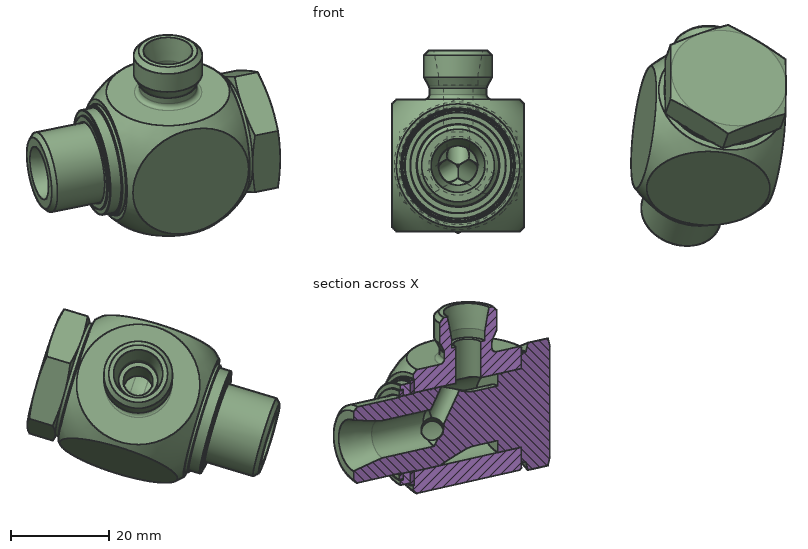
import cadquery as cq
import math


HOUSING_WIDTH = 27.0
HOUSING_HALF = HOUSING_WIDTH / 2
HOUSING_REAR = 13.0
FLAT_DIAMETER = 25.15
SPHERE_RADIUS = math.hypot(HOUSING_HALF, FLAT_DIAMETER / 2)

STUD_LENGTH = 10.0
STUD_TOP = HOUSING_HALF + STUD_LENGTH
STUD_DIAMETER = 14.0
STUD_TOP_DIAMETER = 12
STUD_CHAMFER = (STUD_DIAMETER - STUD_TOP_DIAMETER) / 2
STUD_THREAD_LENGTH = 5.4
STUD_TAPER_LENGTH = 1.8
NECK_DIAMETER = 11.7
NECK_STEP = 0.45
STUD_FILLET = 1.0
CONE_MOUTH_DIAMETER = 10.05
SOCKET_DIAMETER = 8.0
SEAT_DEPTH = 5.0
SOCKET_DEPTH = 7.0
STUD_BORE_DIAMETER = 6.0

HEX_SIDES = 6
HEX_FLATS = 24
HEX_TURN = 180 / HEX_SIDES
HEX_REAR = 20.0
HEX_FRONT = 14.0
HEX_CHAMFER_ANGLE = 15
COLLAR_DIAMETER = HEX_FLATS
COLLAR_FRONT = 13.3
SPIGOT_DIAMETER = 23.35
JOURNAL_DIAMETER = 17.0
THREAD_DIAMETER = 16.65
THREAD_CHAMFER = 0.9
BOLT_LENGTH = 48
BOLT_TIP = HEX_REAR - BOLT_LENGTH

GROOVE_DIAMETER = 12
GROOVE_REAR = 7.2
GROOVE_BEND_REAR = 1.6
GROOVE_BEND_LENGTH = 2.75
GROOVE_SLOPE = 20

BOLT_MOUTH_DIAMETER = 11.0
BOLT_BORE_DIAMETER = 8.0
BOLT_MOUTH_DEPTH = 7.0
BORE_APEX = -5.9
DRILL_HALF_ANGLE = 59
CROSS_HOLE_COUNT = 3
CROSS_HOLE_DIAMETER = 4.5
CROSS_HOLE_ANGLE = 60
CROSS_HOLE_START = -8.8
CROSS_HOLE_LENGTH = 19.2

BACKING_DIAMETER = 22.9
BACKING_THICKNESS = 0.7
BACKING_CHAMFER = 0.15
SEAT_DIAMETER = 23.35
SEAT_CHAMFER = (SEAT_DIAMETER - BACKING_DIAMETER) / 2
SEAL_RING_DIAMETER = 21.9
SEAL_RING_FRONT = -16.6
SEAL_RING_CHAMFER = 0.15
LIP_RECESS_DIAMETER = 19.6
LIP_RECESS_DEPTH = 0.7
LIP_DIAMETER = 19.4
LIP_PROTRUSION = 0.3
BACKING_REAR = -HOUSING_HALF + SEAT_CHAMFER
BACKING_FRONT = -HOUSING_HALF - BACKING_THICKNESS
LIP_REAR = SEAL_RING_FRONT + LIP_RECESS_DEPTH
LIP_FRONT = SEAL_RING_FRONT - LIP_PROTRUSION


def revolve_about_y(points):
    """Solid of revolution about Y from (radius, y) points."""
    return cq.Workplane("XY").polyline(points).close().revolve(360, (0, 0, 0), (0, 1, 0))


def cylinder_along_y(diameter, y_start, y_end):
    return revolve_about_y([(0, y_start), (diameter / 2, y_start), (diameter / 2, y_end), (0, y_end)])


def make_stud():
    thread_radius = STUD_DIAMETER / 2
    throat_radius = STUD_TOP_DIAMETER / 2
    neck_radius = NECK_DIAMETER / 2
    thread_bottom = STUD_TOP - STUD_THREAD_LENGTH
    taper_bottom = thread_bottom - STUD_TAPER_LENGTH
    fillet_shift = STUD_FILLET * (1 - math.cos(math.radians(45)))
    return (
        cq.Workplane("XZ")
        .moveTo(0, 0)
        .lineTo(neck_radius + STUD_FILLET, 0)
        .lineTo(neck_radius + STUD_FILLET, HOUSING_HALF)
        .threePointArc(
            (neck_radius + fillet_shift, HOUSING_HALF + fillet_shift),
            (neck_radius, HOUSING_HALF + STUD_FILLET),
        )
        .lineTo(neck_radius, taper_bottom - NECK_STEP)
        .lineTo(throat_radius, taper_bottom)
        .lineTo(thread_radius, thread_bottom)
        .lineTo(thread_radius, STUD_TOP - STUD_CHAMFER)
        .lineTo(throat_radius, STUD_TOP)
        .lineTo(0, STUD_TOP)
        .close()
        .revolve(360, (0, 0, 0), (0, 1, 0))
    )


def make_stud_bore():
    mouth_radius = CONE_MOUTH_DIAMETER / 2
    socket_radius = SOCKET_DIAMETER / 2
    bore_radius = STUD_BORE_DIAMETER / 2
    outline = [
        (0, 0),
        (bore_radius, 0),
        (bore_radius, STUD_TOP - SOCKET_DEPTH),
        (socket_radius, STUD_TOP - SOCKET_DEPTH),
        (socket_radius, STUD_TOP - SEAT_DEPTH),
        (mouth_radius, STUD_TOP),
        (0, STUD_TOP),
    ]
    return cq.Workplane("XZ").polyline(outline).close().revolve(360, (0, 0, 0), (0, 1, 0))


def make_ring_seat():
    """Shallow chamfered recess in the front of the housing that holds the backing ring."""
    return revolve_about_y([
        (0, -HOUSING_HALF),
        (SEAT_DIAMETER / 2, -HOUSING_HALF),
        (BACKING_DIAMETER / 2, BACKING_REAR),
        (0, BACKING_REAR),
    ])


def make_housing():
    block_length = HOUSING_REAR + HOUSING_HALF
    block = cq.Workplane("XY").box(HOUSING_WIDTH, block_length, HOUSING_WIDTH)
    block = block.translate((0, HOUSING_REAR - block_length / 2, 0))
    block = block.intersect(cq.Workplane("XY").sphere(SPHERE_RADIUS))
    bolt_bore = cylinder_along_y(JOURNAL_DIAMETER, -HOUSING_HALF, HOUSING_REAR)
    return block.union(make_stud()).cut(make_stud_bore()).cut(bolt_bore).cut(make_ring_seat())


def make_hex_head():
    length = HEX_REAR - HEX_FRONT
    corner_radius = HEX_FLATS / 2 / math.cos(math.pi / HEX_SIDES)
    face_radius = COLLAR_DIAMETER / 2
    chamfer = (corner_radius - face_radius) * math.tan(math.radians(HEX_CHAMFER_ANGLE))
    prism = (
        cq.Workplane("XZ", origin=(0, HEX_REAR, 0))
        .polygon(HEX_SIDES, 2 * corner_radius)
        .extrude(length)
        .rotate((0, 0, 0), (0, 1, 0), HEX_TURN)
    )
    envelope = revolve_about_y([
        (0, HEX_FRONT),
        (face_radius, HEX_FRONT),
        (corner_radius, HEX_FRONT + chamfer),
        (corner_radius, HEX_REAR - chamfer),
        (face_radius, HEX_REAR),
        (0, HEX_REAR),
    ])
    return prism.intersect(envelope)


def make_bolt_shank():
    thread_radius = THREAD_DIAMETER / 2
    journal_radius = JOURNAL_DIAMETER / 2
    return revolve_about_y([
        (0, BOLT_TIP),
        (thread_radius - THREAD_CHAMFER, BOLT_TIP),
        (thread_radius, BOLT_TIP + THREAD_CHAMFER),
        (thread_radius, SEAL_RING_FRONT),
        (journal_radius, SEAL_RING_FRONT),
        (journal_radius, HOUSING_REAR),
        (SPIGOT_DIAMETER / 2, HOUSING_REAR),
        (SPIGOT_DIAMETER / 2, COLLAR_FRONT),
        (COLLAR_DIAMETER / 2, COLLAR_FRONT),
        (COLLAR_DIAMETER / 2, HEX_FRONT),
        (0, HEX_FRONT),
    ])


def make_groove():
    """Ring of material removed around the bolt where the stud bore meets it."""
    slope = math.radians(GROOVE_SLOPE)
    floor_radius = GROOVE_DIAMETER / 2
    journal_radius = JOURNAL_DIAMETER / 2
    bend_radius = GROOVE_BEND_LENGTH / math.sin(slope)
    bend_rise = bend_radius * (1 - math.cos(slope))
    middle_rise = bend_radius * (1 - math.cos(slope / 2))
    bend_middle = GROOVE_BEND_REAR - bend_radius * math.sin(slope / 2)
    bend_front = GROOVE_BEND_REAR - GROOVE_BEND_LENGTH
    groove_front = bend_front - (journal_radius - floor_radius - bend_rise) / math.tan(slope)
    return (
        cq.Workplane("XY")
        .moveTo(journal_radius, GROOVE_REAR)
        .lineTo(floor_radius, GROOVE_REAR)
        .lineTo(floor_radius, GROOVE_BEND_REAR)
        .threePointArc((floor_radius + middle_rise, bend_middle), (floor_radius + bend_rise, bend_front))
        .lineTo(journal_radius, groove_front)
        .close()
        .revolve(360, (0, 0, 0), (0, 1, 0))
    )


def make_bolt_bore():
    mouth_radius = BOLT_MOUTH_DIAMETER / 2
    bore_radius = BOLT_BORE_DIAMETER / 2
    drill_point = bore_radius / math.tan(math.radians(DRILL_HALF_ANGLE))
    return revolve_about_y([
        (0, BOLT_TIP),
        (mouth_radius, BOLT_TIP),
        (bore_radius, BOLT_TIP + BOLT_MOUTH_DEPTH),
        (bore_radius, BORE_APEX - drill_point),
        (0, BORE_APEX),
    ])


def make_cross_hole(turn):
    """Slanted hole from the bolt bore out to the groove, turned about the bolt axis."""
    slant = math.radians(CROSS_HOLE_ANGLE)
    direction = cq.Vector(0, math.cos(slant), math.sin(slant))
    start = cq.Vector(0, CROSS_HOLE_START, 0)
    hole = cq.Solid.makeCylinder(CROSS_HOLE_DIAMETER / 2, CROSS_HOLE_LENGTH, start, direction)
    return cq.Workplane(obj=hole).rotate((0, 0, 0), (0, 1, 0), turn)


def make_bolt():
    bolt = make_hex_head().union(make_bolt_shank()).cut(make_groove()).cut(make_bolt_bore())
    for i in range(CROSS_HOLE_COUNT):
        bolt = bolt.cut(make_cross_hole(i * 360 / CROSS_HOLE_COUNT))
    return bolt


def make_plain_ring(diameter, y_front, y_rear):
    """Ring that fits on the bolt journal."""
    ring = cylinder_along_y(diameter, y_front, y_rear)
    return ring.cut(cylinder_along_y(JOURNAL_DIAMETER, y_front, y_rear))


def make_backing_ring():
    ring = make_plain_ring(BACKING_DIAMETER, BACKING_FRONT, BACKING_REAR)
    return ring.faces("<Y").edges(cq.selectors.RadiusNthSelector(-1)).chamfer(BACKING_CHAMFER)


def make_seal_ring():
    ring = make_plain_ring(SEAL_RING_DIAMETER, SEAL_RING_FRONT, BACKING_FRONT)
    ring = ring.faces("<Y").edges(cq.selectors.RadiusNthSelector(-1)).chamfer(SEAL_RING_CHAMFER)
    return ring.cut(cylinder_along_y(LIP_RECESS_DIAMETER, SEAL_RING_FRONT, LIP_REAR))


def make_seal_lip():
    return make_plain_ring(LIP_DIAMETER, LIP_FRONT, LIP_REAR)


housing = make_housing()
bolt = make_bolt()
backing_ring = make_backing_ring()
seal_ring = make_seal_ring()
seal_lip = make_seal_lip()

result = cq.Compound.makeCompound([
    housing.solids().val(),
    bolt.solids().val(),
    backing_ring.solids().val(),
    seal_ring.solids().val(),
    seal_lip.solids().val(),
])